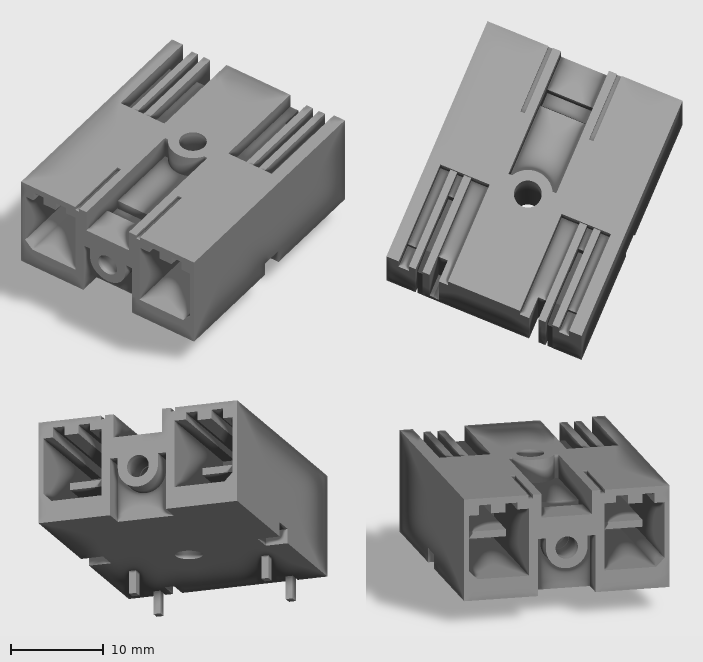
import cadquery as cq
import math

LENGTH = 28.3
WIDTH = 22.87
HEIGHT = 11.43
OVERALL_HEIGHT = 14.0
SIDES = (-1, 1)

CAVITY_INNER = 4.22
CAVITY_OUTER = 10.9
CAVITY_LENGTH = 15.28
CAVITY_BOTTOM_DEPTH = 9.05
CAVITY_CHAMFER = 0.93
INNER_SHELF_DEPTH = 1.53
MIDDLE_SHELF_DEPTH = 1.75
OUTER_SHELF_DEPTH = 1.87
KEY_TOP_DEPTH = 0.75
KEY_WIDTH = 1.33
INNER_KEY_START = 5.52
OUTER_KEY_START = 8.45

PITCH_HALF = 7.6
SHEET = 0.8
PLATE_FRONT = 19.13
PLATE_BACK = 27.73
PLATE_STEP = 21.65
PLATE_FRONT_DEPTH = 3.4
PLATE_TOP_DEPTH = 2.83
RAMP_LENGTH = 2.32
RAMP_DROP = 1.13
LEG_LENGTH = OVERALL_HEIGHT - HEIGHT
LEG_WIDTH = 1.02
LEG_PITCH = 7.65
BLADE_WIDTH = 4.53
BLADE_TOP_DEPTH = 5.32
BLADE_TIP = 5.65

BAY_INNER = 4.22
BAY_OUTER = 10.0
BAY_FRONT = 16.65
BAY_DEPTH = 1.73
RIB_TOP_DEPTH = 0.4
RIB_INNER_FACE = 6.37
RIB_OUTER_FACE = 8.8
NOTCH_LENGTH = 2.52
INNER_NOTCH_WIDTH = 1.08
OUTER_NOTCH_DEPTH = 2.55
COVE_RADIUS = 0.9
COVE_LEDGE = 0.42
COVE_FLOOR = 0.85

CHANNEL_WIDTH = 5.6
CHANNEL_DEPTH = 2.63
CHANNEL_BACK = 14.75
MOUNT_HOLE_DIAMETER = 3.0
MOUNT_HOLE_Y = 16.02
MOUNT_BOSS_RADIUS = 2.7

NUT_SIZE = 5.38
NUT_THICKNESS = 1.55
NUT_FRONT = 4.1
NUT_POCKET_FRONT = 3.93
NUT_POCKET_BACK = 5.9
SCREW_DIAMETER = 2.5
SCREW_DEPTH = 6.2
SCREW_Z = HEIGHT - SCREW_DEPTH
SCREW_BOSS_RADIUS = 2.32
RECESS_WIDTH = 6.42
RECESS_LENGTH = 2.5
RECESS_TOP_DEPTH = 5.0

GROOVE_INNER = 3.75
GROOVE_WIDTH = 0.5
GROOVE_LENGTH = 7.87
GROOVE_DEPTH = 0.42
SIDE_NOTCH_FRONT = 13.33
SIDE_NOTCH_LENGTH = 2.52
SIDE_NOTCH_HEIGHT = 1.6
SIDE_NOTCH_REACH = 2.52


def block(x_range, y_range, z_range):
    """A box between two limits along each axis, given in either order."""
    x_min, x_max = sorted(x_range)
    y_min, y_max = sorted(y_range)
    z_min, z_max = sorted(z_range)
    return cq.Workplane("XY").box(
        x_max - x_min, y_max - y_min, z_max - z_min, centered=False
    ).translate((x_min, y_min, z_min))


def side_block(side, offsets, y_range, z_range):
    """A box on one side of the middle, its X limits given as offsets from the middle."""
    return block([side * offset for offset in offsets], y_range, z_range)


def plug_cavity(side):
    bottom = HEIGHT - CAVITY_BOTTOM_DEPTH
    key_top = HEIGHT - KEY_TOP_DEPTH
    inner_shelf = HEIGHT - INNER_SHELF_DEPTH
    middle_shelf = HEIGHT - MIDDLE_SHELF_DEPTH
    outer_shelf = HEIGHT - OUTER_SHELF_DEPTH
    inner_key_end = INNER_KEY_START + KEY_WIDTH
    outer_key_end = OUTER_KEY_START + KEY_WIDTH
    outline = [
        (CAVITY_INNER, bottom),
        (CAVITY_INNER, inner_shelf),
        (INNER_KEY_START, inner_shelf),
        (INNER_KEY_START, key_top),
        (inner_key_end, key_top),
        (inner_key_end, middle_shelf),
        (OUTER_KEY_START, middle_shelf),
        (OUTER_KEY_START, key_top),
        (outer_key_end, key_top),
        (outer_key_end, outer_shelf),
        (CAVITY_OUTER, outer_shelf),
        (CAVITY_OUTER, bottom + CAVITY_CHAMFER),
        (CAVITY_OUTER - CAVITY_CHAMFER, bottom),
    ]
    points = [(side * offset, z) for offset, z in outline]
    return cq.Workplane("XZ").polyline(points).close().extrude(-CAVITY_LENGTH)


def rear_bay(side):
    """The bay with its ribs left standing, plus the notches at its rear end."""
    floor = HEIGHT - BAY_DEPTH
    bay_length = (BAY_FRONT, LENGTH)
    bay = side_block(side, (BAY_INNER, BAY_OUTER), bay_length, (floor, HEIGHT))
    inner_rib = (RIB_INNER_FACE, PITCH_HALF - SHEET / 2)
    outer_rib = (PITCH_HALF + SHEET / 2, RIB_OUTER_FACE)
    for rib_limits in (inner_rib, outer_rib):
        bay = bay.cut(side_block(side, rib_limits, bay_length, (floor, HEIGHT - RIB_TOP_DEPTH)))

    notch_length = (LENGTH - NOTCH_LENGTH, LENGTH)
    outer_limits = (RIB_OUTER_FACE, BAY_OUTER)
    inner_limits = (RIB_INNER_FACE - INNER_NOTCH_WIDTH, RIB_INNER_FACE)
    outer_notch = side_block(side, outer_limits, notch_length, (HEIGHT - OUTER_NOTCH_DEPTH, HEIGHT))
    inner_notch = side_block(side, inner_limits, notch_length, (0, HEIGHT))
    return bay.union(outer_notch).union(inner_notch)


def cove_floor():
    """Floor of the right inner notch, curving up to a narrow ledge against the rib."""
    inner_face = RIB_INNER_FACE - INNER_NOTCH_WIDTH
    cove_end = RIB_INNER_FACE - COVE_LEDGE
    cove_width = cove_end - inner_face
    cove_rise = COVE_RADIUS - math.sqrt(COVE_RADIUS**2 - cove_width**2)
    ledge_z = COVE_FLOOR + cove_rise
    return (
        cq.Workplane("XZ", origin=(0, LENGTH, 0))
        .moveTo(inner_face, 0)
        .lineTo(RIB_INNER_FACE, 0)
        .lineTo(RIB_INNER_FACE, ledge_z)
        .lineTo(cove_end, ledge_z)
        .radiusArc((inner_face, COVE_FLOOR), COVE_RADIUS)
        .close()
        .extrude(NOTCH_LENGTH)
    )


def terminal_passage(side):
    """Upright slot for the terminal plate, and the opening for the blade ahead of it."""
    plate_limits = (PITCH_HALF - SHEET / 2, PITCH_HALF + SHEET / 2)
    blade_limits = (PITCH_HALF - BLADE_WIDTH / 2, PITCH_HALF + BLADE_WIDTH / 2)
    blade_top = HEIGHT - BLADE_TOP_DEPTH
    slot = side_block(side, plate_limits, (PLATE_FRONT, LENGTH), (0, HEIGHT))
    opening = side_block(
        side, blade_limits, (CAVITY_LENGTH, PLATE_FRONT), (blade_top - SHEET, blade_top)
    )
    return slot.union(opening)


def middle_channel():
    """Top channel whose rear end wraps around the wall of the mounting hole."""
    half = CHANNEL_WIDTH / 2
    channel = block((-half, half), (0, CHANNEL_BACK), (HEIGHT - CHANNEL_DEPTH, HEIGHT))
    return channel.cut(mount_cylinder(MOUNT_BOSS_RADIUS))


def mount_cylinder(radius):
    return cq.Workplane("XY").center(0, MOUNT_HOLE_Y).circle(radius).extrude(HEIGHT)


def screw_cylinder(radius, start, end):
    return cq.Workplane("XZ", origin=(0, start, SCREW_Z)).circle(radius).extrude(start - end)


def nut_pocket():
    half = CHANNEL_WIDTH / 2
    floor = SCREW_Z - NUT_SIZE / 2
    return block((-half, half), (NUT_POCKET_FRONT, NUT_POCKET_BACK), (floor, HEIGHT))


def front_recess():
    """Recess open at the front and underside, around a U-shaped screw boss."""
    half = RECESS_WIDTH / 2
    top = HEIGHT - RECESS_TOP_DEPTH
    recess = block((-half, half), (0, RECESS_LENGTH), (0, top))
    boss_limits = (-SCREW_BOSS_RADIUS, SCREW_BOSS_RADIUS)
    boss = block(boss_limits, (0, RECESS_LENGTH), (SCREW_Z, top))
    boss = boss.union(screw_cylinder(SCREW_BOSS_RADIUS, 0, RECESS_LENGTH))
    return recess.cut(boss)


def top_groove(side):
    limits = (GROOVE_INNER, GROOVE_INNER + GROOVE_WIDTH)
    return side_block(side, limits, (0, GROOVE_LENGTH), (HEIGHT - GROOVE_DEPTH, HEIGHT))


def side_notch(side):
    limits = (WIDTH / 2 - SIDE_NOTCH_REACH, WIDTH / 2)
    y_limits = (SIDE_NOTCH_FRONT, SIDE_NOTCH_FRONT + SIDE_NOTCH_LENGTH)
    return side_block(side, limits, y_limits, (0, SIDE_NOTCH_HEIGHT))


def make_housing():
    body = block((-WIDTH / 2, WIDTH / 2), (0, LENGTH), (0, HEIGHT))
    for side in SIDES:
        body = body.cut(plug_cavity(side))
        body = body.cut(rear_bay(side))
        body = body.cut(terminal_passage(side))
        body = body.cut(top_groove(side))
        body = body.cut(side_notch(side))
    body = body.union(cove_floor())
    body = body.cut(middle_channel())
    body = body.cut(mount_cylinder(MOUNT_HOLE_DIAMETER / 2))
    body = body.cut(front_recess())
    body = body.cut(nut_pocket())
    return body.cut(screw_cylinder(SCREW_DIAMETER / 2, 0, NUT_POCKET_FRONT))


def make_terminal(side):
    """Plate with a stepped and ramped top edge, two legs below it and a blade in front."""
    middle = side * PITCH_HALF
    top = HEIGHT - PLATE_TOP_DEPTH
    front_top = HEIGHT - PLATE_FRONT_DEPTH
    profile = [
        (PLATE_FRONT, 0),
        (PLATE_FRONT, front_top),
        (PLATE_STEP, front_top),
        (PLATE_STEP, top),
        (PLATE_BACK - RAMP_LENGTH, top),
        (PLATE_BACK, top - RAMP_DROP),
        (PLATE_BACK, 0),
    ]
    plate_plane = cq.Workplane("YZ", origin=(middle - SHEET / 2, 0, 0))
    terminal = plate_plane.polyline(profile).close().extrude(SHEET)

    sheet_limits = (middle - SHEET / 2, middle + SHEET / 2)
    for leg_back in (PLATE_BACK, PLATE_BACK - LEG_PITCH):
        leg = block(sheet_limits, (leg_back - LEG_WIDTH, leg_back), (-LEG_LENGTH, 0))
        terminal = terminal.union(leg)

    blade_limits = (middle - BLADE_WIDTH / 2, middle + BLADE_WIDTH / 2)
    blade_top = HEIGHT - BLADE_TOP_DEPTH
    blade = block(blade_limits, (BLADE_TIP, PLATE_FRONT), (blade_top - SHEET, blade_top))
    return terminal.union(blade)


def make_nut():
    half = NUT_SIZE / 2
    nut_back = NUT_FRONT + NUT_THICKNESS
    nut = block((-half, half), (NUT_FRONT, nut_back), (SCREW_Z - half, SCREW_Z + half))
    return nut.cut(screw_cylinder(SCREW_DIAMETER / 2, NUT_FRONT, nut_back))


housing = make_housing()
terminals = [make_terminal(side) for side in SIDES]
nut = make_nut()

result = cq.Compound.makeCompound(
    [housing.val(), *[terminal.val() for terminal in terminals], nut.val()]
)